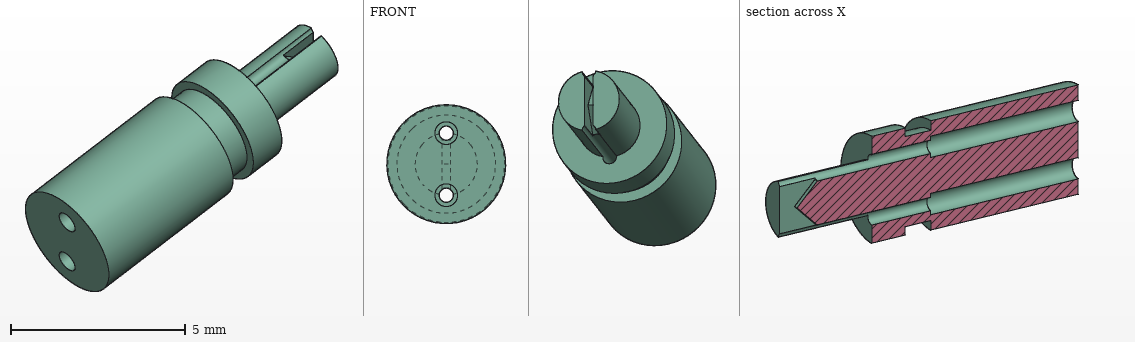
import cadquery as cq

body_diameter = 3.415
body_length = 5.0
neck_diameter = 2.82
neck_length = 0.85
collar_diameter = 3.34
collar_length = 1.15
stem_diameter = 1.78
stem_length = 3.03

bore_offset = stem_diameter / 2
bore_diameter = 0.40
counterbore_diameter = 0.65
counterbore_depth = body_length

groove_floor_height = bore_offset - bore_diameter / 2

slot_width = 0.25
slot_ridge_depth = 0.50

collar_start = body_length + neck_length
stem_start = collar_start + collar_length
overall_length = stem_start + stem_length


def cylinder_along_y(diameter, start, length, z=0.0):
    """Cylinder parallel to Y that begins at Y = start, at height z."""
    base = cq.Vector(0, start, z)
    return cq.Workplane(obj=cq.Solid.makeCylinder(diameter / 2, length, base, cq.Vector(0, 1, 0)))


def make_turned_blank():
    """Body, neck, collar and stem, turned as one half profile about the Y axis."""
    profile = cq.Workplane("YZ").moveTo(0, 0)
    for diameter, start, end in (
        (body_diameter, 0, body_length),
        (neck_diameter, body_length, collar_start),
        (collar_diameter, collar_start, stem_start),
        (stem_diameter, stem_start, overall_length),
    ):
        profile = profile.lineTo(start, diameter / 2).lineTo(end, diameter / 2)
    return profile.lineTo(overall_length, 0).close().revolve(360, (0, 0, 0), (1, 0, 0))


def make_stepped_bore(z):
    """Full-length bore, with a wider counterbore from the front face."""
    bore = cylinder_along_y(bore_diameter, 0, overall_length, z)
    return bore.union(cylinder_along_y(counterbore_diameter, 0, counterbore_depth, z))


def make_slot():
    """Slot through the stem end, with 45 degree ramps from a central ridge out to the grooves."""
    ridge = overall_length - slot_ridge_depth
    ramp_end = ridge - groove_floor_height
    profile = (
        cq.Workplane("YZ")
        .moveTo(overall_length, stem_diameter)
        .lineTo(ramp_end, stem_diameter)
        .lineTo(ramp_end, groove_floor_height)
        .lineTo(ridge, 0)
        .lineTo(ramp_end, -groove_floor_height)
        .lineTo(ramp_end, -stem_diameter)
        .lineTo(overall_length, -stem_diameter)
        .close()
    )
    return profile.extrude(slot_width / 2, both=True)


result = make_turned_blank()
for bore_height in (bore_offset, -bore_offset):
    result = result.cut(make_stepped_bore(bore_height))
result = result.cut(make_slot())